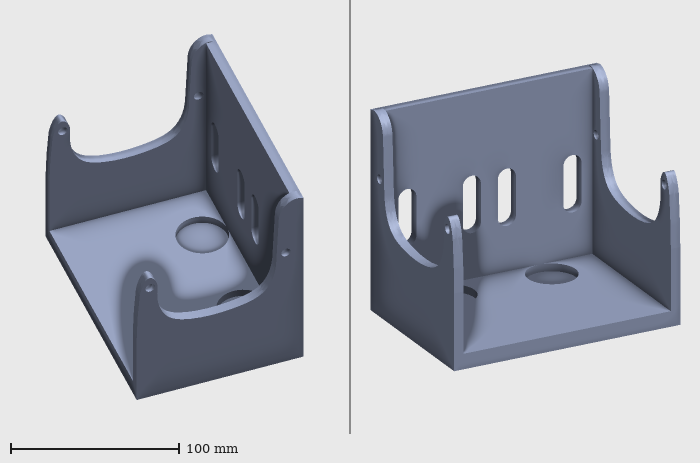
import cadquery as cq

width = 152.0
depth = 106.0
side_thickness = 6.4
back_thickness = 6.4
back_height = 129.5
floor_thickness = 10.0

side_rear_inset = 1.4
front_edge_height = 50.2
inner_width = width - 2 * side_thickness

pin_diameter = 6.0
pin_height = 88.5
pin_rear_distances = (11.1, 97.5)

slot_width = 12.2
slot_length = 37.0
slot_center_height = 57.8
slot_positions = (-54.7, -11.4, 12.2, 56.2)

recess_diameter = 31.9
recess_depth = 5.0
recess_positions = (-34.0, 33.9)

edge_points = [
    (side_rear_inset, back_height),
    (3.3, 130.1),
    (13.0, 124.8),
    (16.0, 112.2),
    (16.5, 96.2),
    (17.2, 82.5),
    (19.6, 69.8),
    (25.5, 60.8),
    (41.2, 54.7),
    (56.5, 53.4),
    (71.9, 54.7),
    (85.1, 60.5),
    (91.4, 70.8),
    (92.9, 83.6),
    (94.0, 93.0),
    (97.6, 96.5),
    (102.1, 91.0),
    (104.5, 78.3),
    (105.5, 64.6),
    (depth, front_edge_height),
]


def block(x_size, y_size, z_size, y_start):
    """Block centred in X, standing on Z = 0 and starting at y_start."""
    base = cq.Workplane("XY").box(x_size, y_size, z_size, centered=(True, False, False))
    return base.translate((0, y_start, 0))


def side_plate(x_start):
    """Side plate with a curved cradle edge and two pin holes."""
    curve = [(depth - rear_distance, height) for rear_distance, height in edge_points]
    plate = (
        cq.Workplane("YZ")
        .moveTo(depth - side_rear_inset, 0)
        .lineTo(*curve[0])
        .spline(curve[1:], includeCurrent=True)
        .lineTo(0, 0)
        .close()
        .extrude(side_thickness)
    )
    pins = (
        cq.Workplane("YZ")
        .pushPoints([(depth - distance, pin_height) for distance in pin_rear_distances])
        .circle(pin_diameter / 2)
        .extrude(side_thickness)
    )
    return plate.cut(pins).translate((x_start, 0, 0))


def back_plate():
    """Full-width back plate with a row of upright slots."""
    slots = (
        cq.Workplane("XZ", origin=(0, depth, 0))
        .pushPoints([(x, slot_center_height) for x in slot_positions])
        .slot2D(slot_length, slot_width, 90)
        .extrude(back_thickness)
    )
    return block(width, back_thickness, back_height, depth - back_thickness).cut(slots)


def floor_plate():
    """Floor between the side plates with two round recesses."""
    recess_y = depth - back_thickness - recess_diameter / 2
    recesses = (
        cq.Workplane("XY", origin=(0, 0, floor_thickness - recess_depth))
        .pushPoints([(x, recess_y) for x in recess_positions])
        .circle(recess_diameter / 2)
        .extrude(recess_depth)
    )
    return block(inner_width, depth, floor_thickness, 0).cut(recesses)


result = back_plate().union(floor_plate())
for side_x in (-width / 2, width / 2 - side_thickness):
    result = result.union(side_plate(side_x))